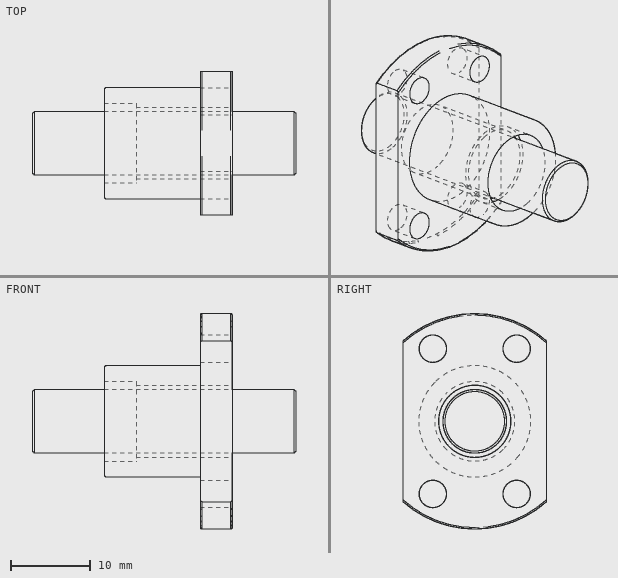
import cadquery as cq
import math

shaft_length = 33.0
shaft_diameter = 8.0
shaft_chamfer = 0.25
nut_start = 9.0
sleeve_length = 12.0
flange_thickness = 4.0

sleeve_diameter = 14.0
flange_diameter = 27.0
flange_width = 18.0
sleeve_edge_radius = 0.25
flange_edge_radius = 0.2
bore_diameter = 9.0
recess_diameter = 10.0
recess_depth = 4.0

hole_diameter = 3.4
pitch_circle_diameter = 21.0
hole_angles = (60, 120, 240, 300)

flange_start = nut_start + sleeve_length
nut_length = sleeve_length + flange_thickness


def cylinder_along_x(start, length, diameter):
    return cq.Workplane("YZ", origin=(start, 0, 0)).circle(diameter / 2).extrude(length)


def make_shaft():
    """Plain round shaft with both ends chamfered."""
    return cylinder_along_x(0, shaft_length, shaft_diameter).faces("<X or >X").chamfer(shaft_chamfer)


def make_flange():
    """Round-edged disc cut to two parallel flats, with the mounting holes."""
    disc = cylinder_along_x(flange_start, flange_thickness, flange_diameter)
    disc = disc.faces("<X or >X").edges().fillet(flange_edge_radius)
    flats = (
        cq.Workplane("YZ", origin=(flange_start, 0, 0))
        .rect(flange_width, flange_diameter)
        .extrude(flange_thickness)
    )
    pitch_radius = pitch_circle_diameter / 2
    hole_centres = [
        (pitch_radius * math.cos(math.radians(angle)), pitch_radius * math.sin(math.radians(angle)))
        for angle in hole_angles
    ]
    holes = (
        cq.Workplane("YZ", origin=(flange_start, 0, 0))
        .pushPoints(hole_centres)
        .circle(hole_diameter / 2)
        .extrude(flange_thickness)
    )
    return disc.intersect(flats).cut(holes)


def make_nut():
    """Sleeve and flange with a through bore, recessed at the sleeve end."""
    sleeve = cylinder_along_x(nut_start, sleeve_length, sleeve_diameter)
    sleeve = sleeve.faces("<X").edges().fillet(sleeve_edge_radius)
    bore = cylinder_along_x(nut_start, nut_length, bore_diameter)
    recess = cylinder_along_x(nut_start, recess_depth, recess_diameter)
    return sleeve.union(make_flange()).cut(bore).cut(recess)


shaft = make_shaft()
nut = make_nut()

result = cq.Compound.makeCompound([shaft.val(), *nut.solids().vals()])